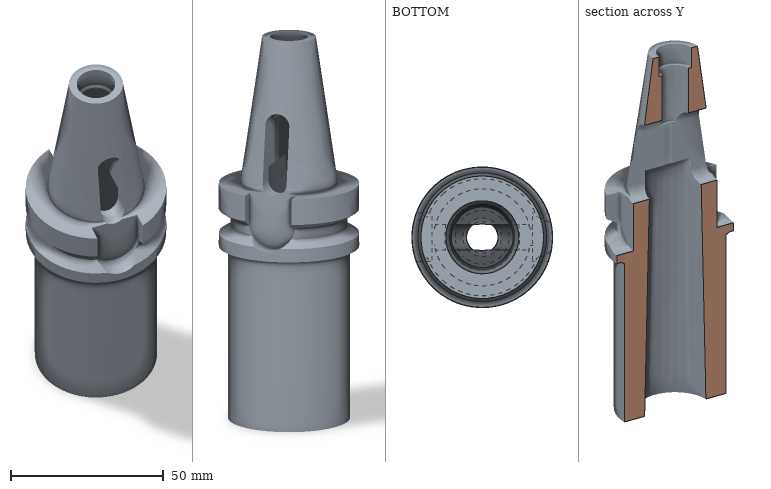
import cadquery as cq

total_height = 128.4
taper_length = 48.4
flange_top = 79.1
groove_upper_edge = 70.5
groove_floor_top = 68.0
groove_floor_bottom = 64.7
groove_lower_edge = 62.4
flange_bottom = 57.9
relief_bottom = 57.1

body_radius = 20.0
flange_radius = 23.0
groove_radius = 19.1
relief_radius = 21.0
taper_large_radius = 15.87
taper_ratio = 7 / 24
taper_small_radius = taper_large_radius - taper_length * taper_ratio / 2

socket_mouth_radius = 12.0
socket_end_radius = 9.9
socket_depth = 86.3
counterbore_radius = 6.3
counterbore_depth = 7.0
thread_radius = 5.1
thread_depth = 27.3
passage_radius = 4.4

tang_slot_width = 8.2
tang_slot_top = 105.0
tang_slot_bottom = 78.1

drive_slot_width = 15.9
drive_slot_bottom = 61.0
drive_face_offset = 16.4


def make_body():
    """Revolve the outside outline about Z."""
    return (
        cq.Workplane("XZ")
        .polyline([
            (0, 0),
            (body_radius, 0),
            (body_radius, relief_bottom),
            (relief_radius, flange_bottom),
            (flange_radius, flange_bottom),
            (flange_radius, groove_lower_edge),
            (groove_radius, groove_floor_bottom),
            (groove_radius, groove_floor_top),
            (flange_radius, groove_upper_edge),
            (flange_radius, flange_top),
            (taper_large_radius, flange_top),
            (taper_large_radius, total_height - taper_length),
            (taper_small_radius, total_height),
            (0, total_height),
        ])
        .close()
        .revolve(360, (0, 0), (0, 1))
    )


def make_bores():
    """Tapered socket from below and stepped stud hole from above, joined through the axis."""
    counterbore_floor = total_height - counterbore_depth
    thread_floor = total_height - thread_depth
    return (
        cq.Workplane("XZ")
        .polyline([
            (0, 0),
            (socket_mouth_radius, 0),
            (socket_end_radius, socket_depth),
            (passage_radius, socket_depth),
            (passage_radius, thread_floor),
            (thread_radius, thread_floor),
            (thread_radius, counterbore_floor),
            (counterbore_radius, counterbore_floor),
            (counterbore_radius, total_height),
            (0, total_height),
        ])
        .close()
        .revolve(360, (0, 0), (0, 1))
    )


def make_tang_slot():
    """Round-ended slot passing right through along X."""
    return (
        cq.Workplane("YZ")
        .center(0, (tang_slot_top + tang_slot_bottom) / 2)
        .slot2D(tang_slot_top - tang_slot_bottom, tang_slot_width, 90)
        .extrude(flange_radius, both=True)
    )


def make_drive_slot(side):
    """Round-bottomed driving notch; side is +1 for +X and -1 for -X."""
    half_width = drive_slot_width / 2
    arc_height = drive_slot_bottom + half_width
    return (
        cq.Workplane("YZ", origin=(side * drive_face_offset, 0, 0))
        .moveTo(-half_width, flange_top)
        .lineTo(-half_width, arc_height)
        .threePointArc((0, drive_slot_bottom), (half_width, arc_height))
        .lineTo(half_width, flange_top)
        .close()
        .extrude(side * flange_radius)
    )


result = make_body().cut(make_bores()).cut(make_tang_slot())
for side in (-1, 1):
    result = result.cut(make_drive_slot(side))